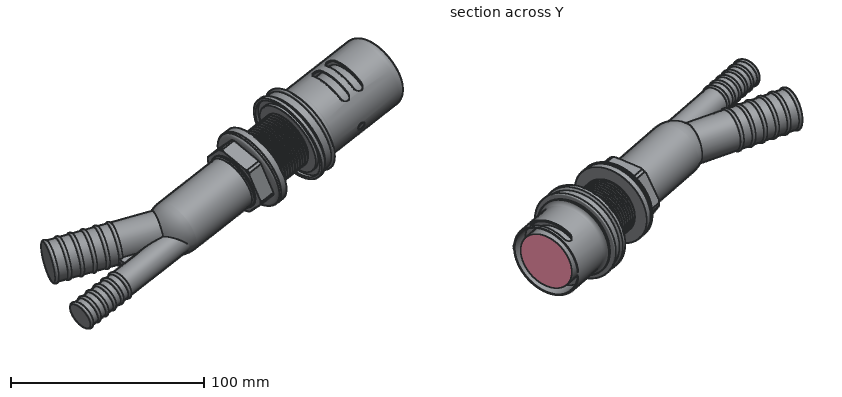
import cadquery as cq
import math

length = 223.5

half_arc = math.sqrt(0.5)

cap_radius = 20.5
cap_edge_fillet = 5.5
cap_bottom = 171.3
skirt_radius = 22.5
skirt_bottom = 168.0

slot_length = 25.3
slot_width = 5.4
slot_positions = (197.6, 188.0)

chamber_radius = 19.7
core_radius = 16.3
chamber_top = 201.5
chamber_bottom = 183.3

button_diameter = 4.7
button_position = 190.0
button_height = 0.2

flange_radius = 50.8 / 2
flange_body_radius = 24.1
flange_top = 166.8
flange_disc_bottom = 165.0
flange_disc_fillet = 0.7
flange_body_bottom = 160.5
flange_lip_top = 159.2
flange_bottom = 157.0
flange_groove_outer_radius = 24.0
flange_groove_inner_radius = 20.8
flange_groove_depth = 1.8

thread_radius = 32.0 / 2
thread_pitch = 1.8
thread_depth = 1.0
thread_groove_width = 1.5
thread_root_width = 0.5
thread_runout = 1.5 * thread_pitch
thread_clearance = 0.2

washer_radius = 22.8
washer_top = 134.0
washer_bottom = 130.1
seam_radius = 22.5
nut_collar_top = 128.8
nut_collar_base_radius = 20.1
nut_top = 127.0
nut_bottom = 118.0
nut_across_flats = 35.8
nut_corner_radius = 20.1
nut_edge_chamfer = 0.55
sleeve_bottom = 116.3

body_radius = 15.2
dome_center = 76.2

rib_length = 2.12
rib_height = 0.7
rib_count = 6
small_offset = 7.0
small_radius = 7.5
small_rib_span = 27.5
large_radius = 11.2
large_rib_span = 35.0
large_length = 70.5
large_angle = 25.0

web_thickness = 3.5
web_bottom = 39.4


def cylinder(radius, bottom, top):
    """Solid cylinder on the main axis between two Y positions."""
    return cq.Workplane("XZ", origin=(0, top, 0)).circle(radius).extrude(top - bottom)


def make_cap():
    shell = cylinder(cap_radius, cap_bottom, length).faces(">Y").edges().fillet(cap_edge_fillet)
    flare_middle = (
        cap_radius + (skirt_radius - cap_radius) * (1 - half_arc),
        skirt_bottom + (cap_bottom - skirt_bottom) * (1 - half_arc),
    )
    skirt = (
        cq.Workplane("XY")
        .moveTo(0, cap_bottom)
        .lineTo(cap_radius, cap_bottom)
        .threePointArc(flare_middle, (skirt_radius, skirt_bottom))
        .lineTo(skirt_radius, flange_top)
        .lineTo(0, flange_top)
        .close()
        .revolve(360, (0, 0), (0, 1))
    )
    cap = shell.union(skirt)
    slots = (
        cq.Workplane("XY")
        .pushPoints([(0, y) for y in slot_positions])
        .slot2D(slot_length, slot_width)
        .extrude(cap_radius)
    )
    button = (
        cq.Workplane("YZ")
        .center(button_position, 0)
        .circle(button_diameter / 2)
        .extrude(cap_radius + button_height)
    )
    chamber = cylinder(chamber_radius, chamber_bottom, chamber_top)
    core = cylinder(core_radius, chamber_bottom, chamber_top)
    return cap.union(button).cut(slots).cut(chamber).union(core)


def make_flange():
    disc = cylinder(flange_radius, flange_disc_bottom, flange_top).edges().fillet(flange_disc_fillet)
    body = (
        cq.Workplane("XY")
        .moveTo(0, flange_disc_bottom)
        .lineTo(flange_body_radius, flange_disc_bottom)
        .lineTo(flange_body_radius, flange_body_bottom)
        .lineTo(flange_radius, flange_lip_top)
        .lineTo(flange_radius, flange_bottom)
        .lineTo(0, flange_bottom)
        .close()
        .revolve(360, (0, 0), (0, 1))
    )
    groove_top = flange_bottom + flange_groove_depth
    groove = cylinder(flange_groove_outer_radius, flange_bottom, groove_top)
    groove = groove.cut(cylinder(flange_groove_inner_radius, flange_bottom, groove_top))
    return body.cut(groove).union(disc)


def make_threaded_shank():
    """Shank with a right-handed thread whose runouts are buried in the flange and the nut."""
    thread_bottom = washer_top - thread_runout
    thread_top = flange_bottom + thread_runout
    helix = cq.Wire.makeHelix(thread_pitch, thread_top - thread_bottom, thread_radius)
    groove_floor = thread_radius - thread_depth
    flank_slope = (thread_groove_width - thread_root_width) / 2 / thread_depth
    outer_half_width = thread_groove_width / 2 + thread_clearance * flank_slope
    groove = (
        cq.Workplane("XZ")
        .moveTo(groove_floor, thread_root_width / 2)
        .lineTo(thread_radius + thread_clearance, outer_half_width)
        .lineTo(thread_radius + thread_clearance, -outer_half_width)
        .lineTo(groove_floor, -thread_root_width / 2)
        .close()
        .sweep(cq.Workplane(obj=helix), isFrenet=True)
        .rotate((0, 0, 0), (1, 0, 0), -90)
        .translate((0, thread_bottom, 0))
    )
    shank = cylinder(thread_radius, thread_bottom - thread_runout, thread_top + thread_runout)
    return shank.cut(groove)


def make_nut():
    collar_middle = (
        nut_collar_base_radius + (washer_radius - nut_collar_base_radius) * half_arc,
        nut_collar_top - (nut_collar_top - nut_top) * half_arc,
    )
    washer = (
        cq.Workplane("XY")
        .moveTo(0, washer_top)
        .lineTo(washer_radius, washer_top)
        .lineTo(washer_radius, washer_bottom)
        .lineTo(seam_radius, washer_bottom)
        .lineTo(seam_radius, nut_collar_top)
        .lineTo(washer_radius, nut_collar_top)
        .threePointArc(collar_middle, (nut_collar_base_radius, nut_top))
        .lineTo(0, nut_top)
        .close()
        .revolve(360, (0, 0), (0, 1))
    )
    hexagon = (
        cq.Workplane("XZ", origin=(0, nut_top, 0))
        .polygon(6, nut_across_flats / math.cos(math.pi / 6))
        .extrude(nut_top - nut_bottom)
    )
    rounding = cylinder(nut_corner_radius, nut_bottom, nut_top)
    rounding = rounding.faces("<Y").edges().chamfer(nut_edge_chamfer)
    sleeve = cylinder(thread_radius, sleeve_bottom, nut_bottom)
    sleeve = sleeve.faces("<Y").edges().chamfer(thread_radius - body_radius)
    return washer.union(hexagon.intersect(rounding)).union(sleeve)


def make_barb(radius, barb_length, rib_span):
    """Ribbed hose barb on the main axis, running from its end at Y = 0 to Y = barb_length."""
    rib_pitch = rib_span / (rib_count - 1)
    outline = cq.Workplane("XY").lineTo(radius, 0)
    for index in range(rib_count):
        rib_start = index * rib_pitch
        crest = (radius + rib_height, rib_start + rib_length / 2)
        if index > 0:
            outline = outline.lineTo(radius, rib_start)
        outline = outline.threePointArc(crest, (radius, rib_start + rib_length))
    return (
        outline.lineTo(radius, barb_length)
        .lineTo(0, barb_length)
        .close()
        .revolve(360, (0, 0), (0, 1))
    )


def make_body():
    dome_slant = body_radius * half_arc
    tube = (
        cq.Workplane("XY")
        .moveTo(0, washer_top)
        .lineTo(body_radius, washer_top)
        .lineTo(body_radius, dome_center)
        .threePointArc((dome_slant, dome_center - dome_slant), (0, dome_center - body_radius))
        .close()
        .revolve(360, (0, 0), (0, 1))
    )
    small_barb = make_barb(small_radius, dome_center, small_rib_span).translate((small_offset, 0, 0))
    large_barb = (
        make_barb(large_radius, large_length, large_rib_span)
        .translate((0, -large_length, 0))
        .rotate((0, 0, 0), (0, 0, 1), -large_angle)
        .translate((0, dome_center, 0))
    )
    web_left = -(dome_center - web_bottom) * math.tan(math.radians(large_angle))
    web = (
        cq.Workplane("XY")
        .moveTo(0, dome_center)
        .lineTo(web_left, web_bottom)
        .lineTo(small_offset, web_bottom)
        .lineTo(small_offset, dome_center)
        .close()
        .extrude(web_thickness / 2, both=True)
    )
    return tube.union(small_barb).union(large_barb).union(web)


result = (
    make_threaded_shank()
    .union(make_flange())
    .union(make_cap())
    .union(make_nut())
    .union(make_body())
)